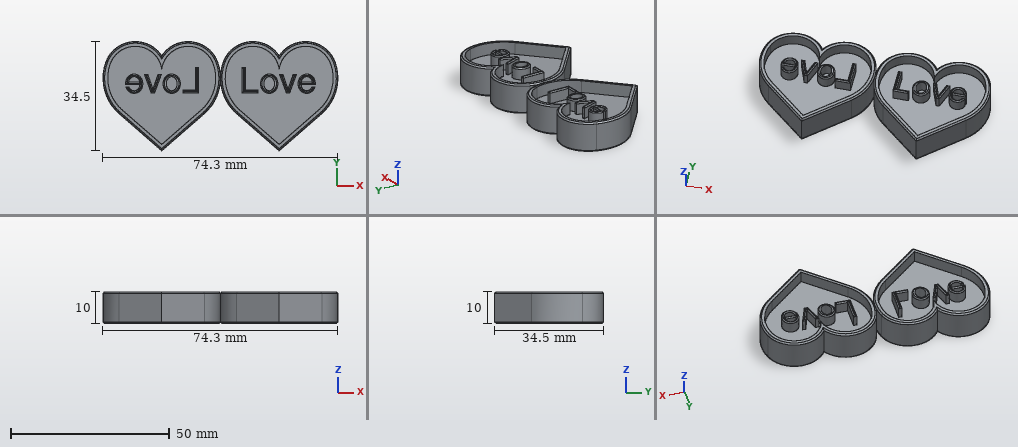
import cadquery as cq
import math


heart_half_width = 74.29 / 4
heart_length = 34.54
lobe_radius = 9.95
lobe_center_x = 8.35
side_radius = 14.9

side_center_x = heart_half_width - side_radius
side_center_y = -math.sqrt((side_radius - lobe_radius) ** 2 - (lobe_center_x - side_center_x) ** 2)
shoulder_angle = math.atan2(-side_center_y, lobe_center_x - side_center_x)

tip_y = lobe_radius - heart_length
tip_to_side_center = math.hypot(side_center_x, side_center_y - tip_y)
flank_angle = (
    math.atan2(side_center_y - tip_y, side_center_x) - math.asin(side_radius / tip_to_side_center)
)

tray_height = 10.0
floor_height = 6.0
wall = 1.5
edge_chamfer = 0.5

cap_height = 8.05
units_per_cap = 1000
unit = cap_height / units_per_cap
word_start_x = 6.05
baseline_y = -6.3
letter_height = tray_height - floor_height
letter_bevel = 0.4
bevel_angle = 45

wide_advance = 777
v_advance = 698

stem_left = 102
stem_width = 132
foot_width = 618
foot_height = 118
x_height = 724
oval_center_x = 386
oval_center_y = 362
oval_outer = (339, 379)
oval_inner = (212, 278)
v_left = 18
v_right = 680
v_arm_width = 130
v_tip_width = 131
v_notch_y = 145
bar_bottom = 323
bar_top = 424
e_lip_inner_x = 590
e_lip_inner_y = 233
e_lip_outer_y = 218
e_mouth_end_x = 780


def point_on_arc(center_x, center_y, radius, angle):
    return (center_x + radius * math.cos(angle), center_y + radius * math.sin(angle))


def heart_outline(inset):
    """Closed heart outline centred on X = 0, moved inward by the inset all round."""
    lobe = lobe_radius - inset
    side = side_radius - inset
    tip = (0, tip_y + inset / math.cos(flank_angle))
    flank_end = point_on_arc(side_center_x, side_center_y, side, flank_angle - math.pi / 2)
    widest = (side_center_x + side, side_center_y)
    shoulder = point_on_arc(lobe_center_x, 0, lobe, shoulder_angle)
    lobe_top = (lobe_center_x, lobe)
    cleft = (0, math.sqrt(lobe ** 2 - lobe_center_x ** 2))
    return (
        cq.Workplane("XY")
        .moveTo(*tip)
        .lineTo(*flank_end)
        .threePointArc(widest, shoulder)
        .threePointArc(lobe_top, cleft)
        .mirrorY()
    )


def heart_tray():
    """Heart block with chamfered outer edges and a pocket that leaves a thin wall."""
    block = heart_outline(0).extrude(tray_height)
    block = block.faces("<Z or >Z").edges().chamfer(edge_chamfer)
    pocket = heart_outline(wall).extrude(tray_height - floor_height)
    return block.cut(pocket.translate((0, 0, floor_height)))


def place(points):
    """Points given in letter units, in millimetres."""
    return [(x * unit, y * unit) for x, y in points]


def stroke_outline(points):
    return cq.Workplane("XY").polyline(place(points)).close()


def oval_outline(semi_axes):
    """Ellipse centred where the round letters are centred."""
    return (
        cq.Workplane("XY")
        .center(oval_center_x * unit, oval_center_y * unit)
        .ellipse(semi_axes[0] * unit, semi_axes[1] * unit)
    )


def beveled_prism(outline, taper):
    """Letter-high prism; at the top a positive taper narrows it, a negative one flares it."""
    straight_height = letter_height - letter_bevel
    body = outline.extrude(straight_height)
    rim = body.faces(">Z").wires().toPending().workplane()
    return body.union(rim.extrude(letter_bevel, taper=taper, combine=False))


def letter_l():
    stem_right = stem_left + stem_width
    foot_right = stem_left + foot_width
    outline = stroke_outline([
        (stem_left, 0),
        (foot_right, 0),
        (foot_right, foot_height),
        (stem_right, foot_height),
        (stem_right, units_per_cap),
        (stem_left, units_per_cap),
    ])
    return beveled_prism(outline, bevel_angle)


def letter_o():
    """Ring beveled on its outer edge only."""
    post = beveled_prism(oval_outline(oval_outer), bevel_angle)
    return post.cut(oval_outline(oval_inner).extrude(letter_height))


def letter_v():
    middle = (v_left + v_right) / 2
    outline = stroke_outline([
        (middle - v_tip_width / 2, 0),
        (middle + v_tip_width / 2, 0),
        (v_right, x_height),
        (v_right - v_arm_width, x_height),
        (middle, v_notch_y),
        (v_left + v_arm_width, x_height),
        (v_left, x_height),
    ])
    return beveled_prism(outline, bevel_angle)


def letter_e():
    """Oval post with a closed counter above the crossbar and an open mouth below it."""
    counter_left, counter_right, counter_top = place([
        (oval_center_x - oval_inner[0], bar_top),
        (oval_center_x + oval_inner[0], bar_top),
        (oval_center_x, oval_center_y + oval_inner[1]),
    ])
    counter = (
        cq.Workplane("XY")
        .moveTo(*counter_left)
        .threePointArc(counter_top, counter_right)
        .close()
    )

    mouth_left, mouth_bottom, lip_inner, lip_outer, mouth_right = place([
        (oval_center_x - oval_inner[0], bar_bottom),
        (oval_center_x, oval_center_y - oval_inner[1]),
        (e_lip_inner_x, e_lip_inner_y),
        (e_mouth_end_x, e_lip_outer_y),
        (e_mouth_end_x, bar_bottom),
    ])
    mouth = (
        cq.Workplane("XY")
        .moveTo(*mouth_left)
        .threePointArc(mouth_bottom, lip_inner)
        .lineTo(*lip_outer)
        .lineTo(*mouth_right)
        .close()
    )

    letter = beveled_prism(oval_outline(oval_outer), bevel_angle)
    for opening in (counter, mouth):
        letter = letter.cut(beveled_prism(opening, -bevel_angle))
    return letter


def build_heart():
    """The right-hand heart: a tray with the raised word standing on its floor."""
    heart = heart_tray().translate((heart_half_width, 0, 0))
    pen_x = word_start_x
    spelling = [
        (letter_l(), wide_advance),
        (letter_o(), wide_advance),
        (letter_v(), v_advance),
        (letter_e(), wide_advance),
    ]
    for letter, advance in spelling:
        heart = heart.union(letter.translate((pen_x, baseline_y, floor_height)))
        pen_x += advance * unit
    return heart


right_heart = build_heart()
left_heart = right_heart.mirror("YZ")

result = cq.Compound.makeCompound([right_heart.val(), left_heart.val()])